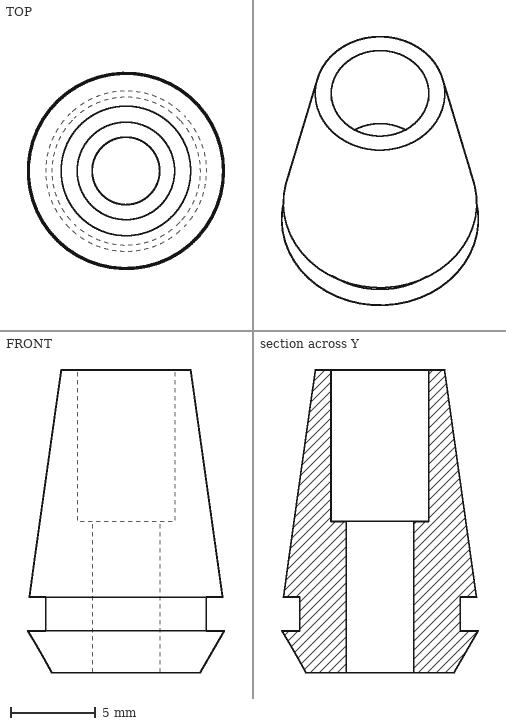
import cadquery as cq
import math

total_length = 18.0

nose_height = 2.5
flange_diameter = 11.7
nose_half_angle = 30.0

groove_width = 2.0
groove_diameter = 9.55

taper_base_diameter = 11.5
taper_half_angle = 8.0

clamp_bore_diameter = 4.0
relief_bore_diameter = 5.8
relief_bore_depth = 9.0

flange_radius = flange_diameter / 2
groove_radius = groove_diameter / 2
taper_base_radius = taper_base_diameter / 2
groove_top = nose_height + groove_width
taper_height = total_length - groove_top
nose_tip_radius = flange_radius - nose_height * math.tan(math.radians(nose_half_angle))
taper_top_radius = taper_base_radius - taper_height * math.tan(math.radians(taper_half_angle))


def revolved_body():
    """Solid of revolution about Z, standing on Z = 0."""
    half_profile = [
        (0, 0),
        (nose_tip_radius, 0),
        (flange_radius, nose_height),
        (groove_radius, nose_height),
        (groove_radius, groove_top),
        (taper_base_radius, groove_top),
        (taper_top_radius, total_length),
        (0, total_length),
    ]
    return cq.Workplane("XZ").polyline(half_profile).close().revolve(360, (0, 0), (0, 1))


def stepped_bore():
    """Through clamping bore joined with the wider relief bore at the top."""
    clamp_bore = cq.Workplane("XY").circle(clamp_bore_diameter / 2).extrude(total_length)
    relief_bore = (
        cq.Workplane("XY")
        .workplane(offset=total_length - relief_bore_depth)
        .circle(relief_bore_diameter / 2)
        .extrude(relief_bore_depth)
    )
    return clamp_bore.union(relief_bore)


result = revolved_body().cut(stepped_bore())